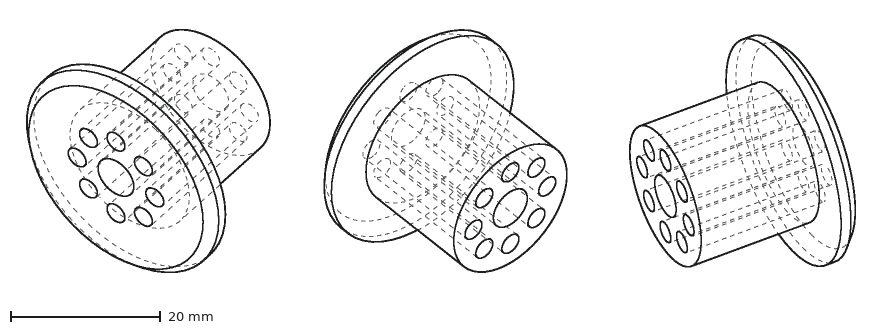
import cadquery as cq

flange_diameter = 32.2
total_length = 20.95
flange_thickness = 3.0
flange_chamfer = flange_thickness / 2
barrel_diameter = 20.0

bore_diameter = 6.0
small_hole_diameter = bore_diameter / 2
small_hole_count = 8
hole_circle_radius = 6.5


def make_body():
    """Flange with a chamfered front rim, and a plain barrel behind it."""
    front_face = cq.Workplane("XZ").workplane(invert=True)
    flange = (
        front_face.circle(flange_diameter / 2)
        .extrude(flange_thickness)
        .faces("<Y")
        .chamfer(flange_chamfer)
    )
    barrel = front_face.circle(barrel_diameter / 2).extrude(total_length)
    return flange.union(barrel)


def drill_holes(body):
    """Central bore and a ring of smaller holes, all running the full length."""
    return (
        body.faces("<Y")
        .workplane(origin=(0, 0, 0))
        .hole(bore_diameter)
        .faces("<Y")
        .workplane(origin=(0, 0, 0))
        .polarArray(hole_circle_radius, 0, 360, small_hole_count)
        .hole(small_hole_diameter)
    )


result = drill_holes(make_body())